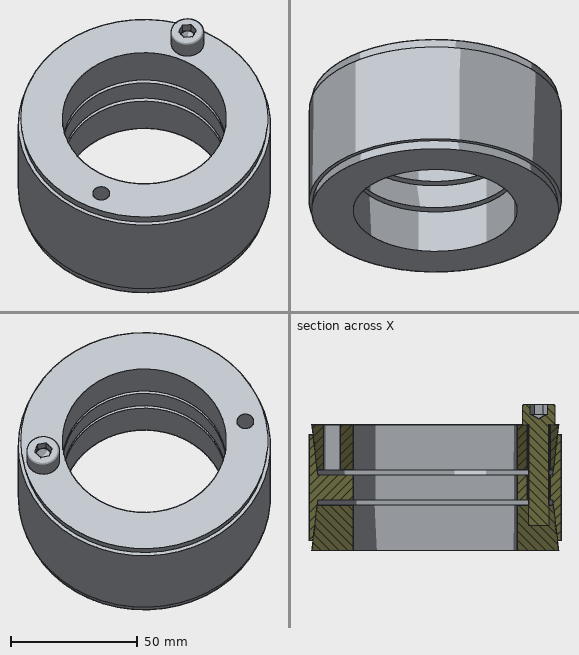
import cadquery as cq
import math

height = 50.0
mid_height = height / 2
bore_radius = 65.0 / 2
sleeve_radius = 100.0 / 2

ring_outer_radius = 98.0 / 2
taper_angle = 7.0
ring_projection = 4.0
gap = 2.0
rib_thickness = 10.0
ring_height = (height - rib_thickness) / 2 - gap
taper_slope = math.tan(math.radians(taper_angle))

sleeve_bottom = ring_projection
sleeve_top = height - ring_projection
rib_bottom = mid_height - rib_thickness / 2
rib_top = mid_height + rib_thickness / 2

hole_offset = 41.0
head_diameter = 13.0
head_height = 8.0
head_rounding = 0.9
shank_diameter = 8.0
shank_length = 40.0
clearance_diameter = 9.0
jacking_diameter = 6.6
socket_flats = 6.0
socket_depth = 4.0
socket_cone_height = 1.7
socket_corner_diameter = socket_flats / math.cos(math.pi / 6)


def cone_radius(depth):
    """Taper radius at a distance inward from the ring's outer face."""
    return ring_outer_radius - taper_slope * depth


def cylinder(diameter, bottom, length, y):
    """Vertical cylinder centred on X = 0."""
    return cq.Workplane("XY", origin=(0, y, bottom)).circle(diameter / 2).extrude(length)


def make_sleeve():
    """Outer sleeve with a taper at each end and a bored rib in the middle."""
    mouth_radius = cone_radius(ring_projection)
    root_radius = cone_radius(rib_bottom)
    profile = [
        (sleeve_radius, sleeve_bottom),
        (sleeve_radius, sleeve_top),
        (mouth_radius, sleeve_top),
        (root_radius, rib_top),
        (bore_radius, rib_top),
        (bore_radius, rib_bottom),
        (root_radius, rib_bottom),
        (mouth_radius, sleeve_bottom),
    ]
    sleeve = cq.Workplane("XZ").polyline(profile).close().revolve(360, (0, 0), (0, 1))
    return sleeve.cut(cylinder(clearance_diameter, rib_bottom, rib_thickness, hole_offset))


def make_tapered_ring():
    """Plain tapered ring with its wide face on Z = 0."""
    profile = [
        (bore_radius, 0),
        (ring_outer_radius, 0),
        (cone_radius(ring_height), ring_height),
        (bore_radius, ring_height),
    ]
    return cq.Workplane("XZ").polyline(profile).close().revolve(360, (0, 0), (0, 1))


def make_lower_ring():
    """Lower ring with a blind hole that receives the screw tip."""
    screw_tip = height - shank_length
    screw_hole = cylinder(shank_diameter, screw_tip, ring_height - screw_tip, hole_offset)
    return make_tapered_ring().cut(screw_hole)


def make_upper_ring():
    """Upper ring with a screw clearance hole and a jacking hole opposite."""
    ring = make_tapered_ring().mirror("XY").translate((0, 0, height))
    ring_bottom = height - ring_height
    ring = ring.cut(cylinder(clearance_diameter, ring_bottom, ring_height, hole_offset))
    return ring.cut(cylinder(jacking_diameter, ring_bottom, ring_height, -hole_offset))


def make_screw():
    """Socket head cap screw with a hexagonal socket ending in a cone."""
    head = cylinder(head_diameter, height, head_height, hole_offset)
    head = head.faces(">Z").edges().fillet(head_rounding)
    shank = cylinder(shank_diameter, height - shank_length, shank_length, hole_offset)
    socket_floor = height + head_height - socket_depth
    socket = (
        cq.Workplane("XY", origin=(0, hole_offset, socket_floor))
        .polygon(6, socket_corner_diameter)
        .extrude(socket_depth)
        .rotate((0, hole_offset, 0), (0, hole_offset, 1), 30)
    )
    cone = cq.Workplane(
        cq.Solid.makeCone(
            socket_flats / 2,
            0,
            socket_cone_height,
            cq.Vector(0, hole_offset, socket_floor),
            cq.Vector(0, 0, -1),
        )
    )
    return head.union(shank).cut(socket).cut(cone)


sleeve = make_sleeve()
lower_ring = make_lower_ring()
upper_ring = make_upper_ring()
screw = make_screw()

result = cq.Compound.makeCompound([sleeve.val(), lower_ring.val(), upper_ring.val(), screw.val()])